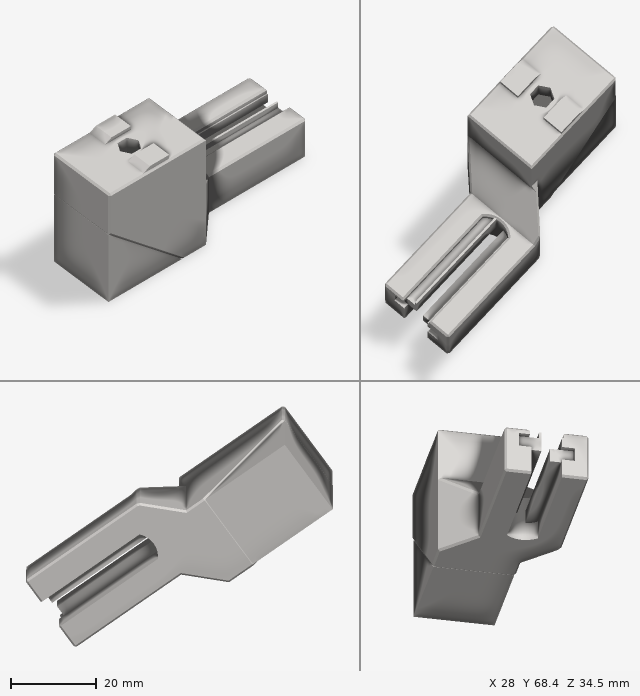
import cadquery as cq
import math

width = 20.0
side_shift = 8.0
block_length = 30.0
block_height = 33.4
arm_end = 68.42
arm_height = 12.0
chamfer = 0.5

block_left = side_shift
block_right = block_left + width
block_centre_x = block_left + width / 2
arm_centre_x = width / 2
ramp_start = block_length + side_shift
left_wall_lead = 2.0
left_wall_front = block_length - left_wall_lead
left_wall_back = ramp_start - left_wall_lead
ramp_top = arm_height + side_shift
ramp_left_foot = arm_height + left_wall_lead

cut_length = 23.0
cut_height = 21.0

overall_height = 34.53
pad_width = 5.5
pad_front = 11.0
pad_flat_front = 13.0
pad_back = 19.0
hex_across_flats = 5.0
hex_depth = 6.0

lip_slot_width = 8.0
lower_slot_width = 7.3
groove_depth = 3.0
groove_height = 3.4
left_groove_top = 8.0
right_groove_top = 10.55
slot_end = 38.75
slot_end_radius = 5.5

wedge_side_inset = 0.4
wedge_gap = 0.15

jaw_setback = 1.35
jaw_gap = 2.0
fin_thickness = 0.55
fin_top = arm_height + 0.2


def prism_along_x(points, x_start, x_end):
    """Extrude a closed (y, z) outline between two x positions."""
    return cq.Workplane("YZ", origin=(x_start, 0, 0)).polyline(points).close().extrude(x_end - x_start)


def box(x0, x1, y0, y1, z0, z1):
    return cq.Workplane("XY").box(x1 - x0, y1 - y0, z1 - z0, centered=False).translate((x0, y0, z0))


def slot(slot_width, z_start, z_end, taper=0):
    """Slot open at the arm end and closed by a shallow arc at the ramp."""
    half = slot_width / 2
    return (
        cq.Workplane("XY", origin=(arm_centre_x, 0, z_start))
        .moveTo(-half, arm_end + chamfer)
        .lineTo(-half, slot_corner_y(half))
        .threePointArc((0, slot_end), (half, slot_corner_y(half)))
        .lineTo(half, arm_end + chamfer)
        .close()
        .extrude(z_end - z_start, taper=taper)
    )


def slot_corner_y(half_width):
    """Where the closing arc meets a slot wall."""
    return slot_end + slot_end_radius - math.sqrt(slot_end_radius**2 - half_width**2)


def half_cavity(side, top):
    """Half of the slot together with its groove; side is -1 for left, +1 for right."""
    half_slot = lower_slot_width / 2
    groove_wall = side * (half_slot + groove_depth)
    floor = top - groove_height
    x_range = sorted((arm_centre_x, arm_centre_x + groove_wall))
    groove = box(*x_range, slot_corner_y(half_slot), arm_end, floor, top)
    half_of_arm = box(*x_range, ramp_start, arm_end, floor, top)
    return groove.union(slot(lower_slot_width, floor, top).intersect(half_of_arm))


def housing_blank():
    plan = [
        (block_left, 0),
        (block_right, 0),
        (block_right, block_length),
        (width, ramp_start),
        (width, arm_end),
        (0, arm_end),
        (0, left_wall_back),
        (block_left, left_wall_front),
    ]
    blank = cq.Workplane("XY").polyline(plan).close().extrude(block_height)
    above_arm = [
        (block_length, block_height),
        (block_length, ramp_top),
        (ramp_start, arm_height),
        (arm_end, arm_height),
        (arm_end, block_height),
    ]
    blank = blank.cut(prism_along_x(above_arm, 0, block_right))
    blank = blank.cut(
        box(0, block_left, left_wall_front, block_length, ramp_top + left_wall_lead, block_height)
    )
    under_block = [(0, 0), (cut_length, 0), (0, cut_height)]
    return blank.cut(prism_along_x(under_block, block_left, block_right))


def with_broken_edges(body):
    """Chamfer the outer edges of the housing."""
    edge_ends = [
        ((block_left, 0, block_height), (block_right, 0, block_height)),
        ((block_left, block_length, block_height), (block_right, block_length, block_height)),
        ((block_left, 0, block_height), (block_left, block_length, block_height)),
        ((block_right, 0, block_height), (block_right, block_length, block_height)),
        ((block_left, 0, cut_height), (block_left, 0, block_height)),
        ((block_right, 0, cut_height), (block_right, 0, block_height)),
        ((block_left, cut_length, 0), (block_left, 0, cut_height)),
        ((block_right, cut_length, 0), (block_right, 0, cut_height)),
        ((block_left, cut_length, 0), (block_left, left_wall_front, 0)),
        ((block_left, left_wall_front, 0), (0, left_wall_back, 0)),
        ((0, left_wall_back, 0), (0, arm_end, 0)),
        ((0, arm_end, 0), (width, arm_end, 0)),
        ((width, ramp_start, 0), (width, arm_end, 0)),
        ((width, ramp_start, 0), (block_right, block_length, 0)),
        ((block_right, cut_length, 0), (block_right, block_length, 0)),
        ((0, left_wall_back, 0), (0, left_wall_back, ramp_left_foot)),
        ((0, arm_end, 0), (0, arm_end, arm_height)),
        ((width, arm_end, 0), (width, arm_end, arm_height)),
        ((0, arm_end, arm_height), (width, arm_end, arm_height)),
        ((0, ramp_start, arm_height), (0, arm_end, arm_height)),
        ((width, ramp_start, arm_height), (width, arm_end, arm_height)),
        ((0, left_wall_back, ramp_left_foot), (0, ramp_start, arm_height)),
        ((width, ramp_start, arm_height), (block_right, block_length, ramp_top)),
    ]
    picked = body.newObject([])
    for start, end in edge_ends:
        middle = [(a + b) / 2 for a, b in zip(start, end)]
        picked = picked.add(body.edges(cq.selectors.NearestToPointSelector(middle)).vals())
    return picked.chamfer(chamfer)


def housing():
    body = with_broken_edges(housing_blank())
    bevel_foot = ramp_left_foot - chamfer * math.sqrt(1.5)
    bevel_space = (
        cq.Workplane("XZ")
        .polyline(
            [
                (0, bevel_foot),
                (block_left, bevel_foot + side_shift),
                (block_left, block_height),
                (0, block_height),
            ]
        )
        .close()
        .extrude(-ramp_start)
    )
    body = body.cut(bevel_space)

    body = body.cut(slot(lower_slot_width, 0, right_groove_top))
    body = body.cut(slot(lip_slot_width, right_groove_top, arm_height))
    body = body.cut(slot(lip_slot_width, arm_height - chamfer, arm_height, taper=-45))
    body = body.cut(half_cavity(-1, left_groove_top)).cut(half_cavity(1, right_groove_top))

    pad_outline = [
        (pad_front, block_height),
        (pad_back, block_height),
        (pad_back, overall_height),
        (pad_flat_front, overall_height),
    ]
    for left in (block_left + chamfer, block_right - chamfer - pad_width):
        body = body.union(prism_along_x(pad_outline, left, left + pad_width))

    socket = (
        cq.Workplane("XY", origin=(block_centre_x, block_length / 2, block_height - hex_depth))
        .transformed(rotate=(0, 0, 90))
        .polygon(6, hex_across_flats / math.cos(math.pi / 6))
        .extrude(hex_depth)
    )
    return body.cut(socket)


def wedge():
    slope = cut_height / cut_length
    drop = wedge_gap * math.sqrt(1 + slope**2)
    height = cut_height - drop
    outline = [(0, 0), (height / slope, 0), (0, height)]
    return prism_along_x(outline, block_left + wedge_side_inset, block_right - wedge_side_inset)


def jaw(side, top):
    """Bar that fills one groove and leaves half of the middle gap open."""
    jaw_end = arm_end - jaw_setback
    x_range = sorted((arm_centre_x + side * jaw_gap / 2, arm_centre_x + side * width / 2))
    return half_cavity(side, top).intersect(box(*x_range, ramp_start, jaw_end, 0, arm_height))


def left_jaw():
    return jaw(-1, left_groove_top)


def right_jaw():
    """Jaw with a thin upright fin along the middle gap."""
    fin_left = arm_centre_x + jaw_gap / 2
    fin_bottom = right_groove_top - groove_height
    fin_space = box(
        fin_left, fin_left + fin_thickness, ramp_start, arm_end - jaw_setback, fin_bottom, fin_top
    )
    return jaw(1, right_groove_top).union(slot(lower_slot_width, fin_bottom, fin_top).intersect(fin_space))


result = cq.Compound.makeCompound(
    [housing().val(), wedge().val(), left_jaw().val(), right_jaw().val()]
)